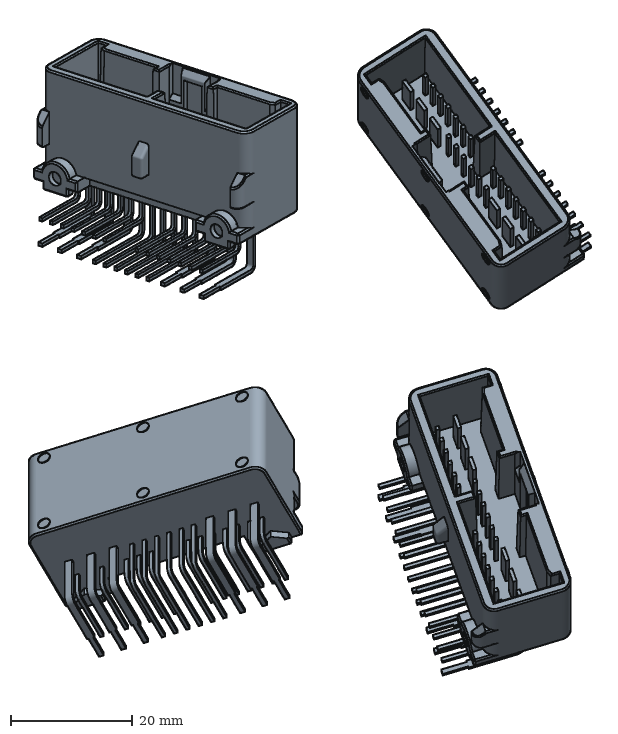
import cadquery as cq


width = 42.5
depth = 15.3
height = 19.55
corner_radius = 2.05
edge_break = 0.3

floor_z = 3.82
cavity_half_width = 19.5
cavity_front_y = 2.15
cavity_back_y = 13.55
land_y = 11.75
land_outer_x = 18.25
land_corner_length = 0.95
land_corner_depth = 0.35
guide_y = 10.7
guide_outer_x = 6.45
guide_inner_x = 4.7
key_half_width = 0.95
key_tip_y = 5.15
wall_draft = 0.2
rim_chamfer = 0.25

latch_half_width = 2.85
latch_taper = 0.42
latch_back_y = 14.55
latch_ledge_z = 14.02
latch_block_drop = 0.98
latch_ledge_drop = 0.75
latch_edge_radius = 0.35
latch_panel_half_width = 1.85
latch_panel_top_z = 17.6

hook_reach = 2.0
hook_bottom_z = 6.15
hook_top_z = 12.0
hook_root_y = 1.5
hook_half_width = 1.15
hook_edge_radius = 0.5
corner_hook_radius = 1.6
corner_hook_width = 1.83
hook_slope_break = 0.2

flange_reach = 2.12
flange_inner_x = 12.2
flange_top_z = 2.05
recess_depth = 1.5
boss_x = 16.7
boss_z = 1.35
boss_radius = 2.95
boss_hole_radius = 1.25
boss_hole_depth = 1.0
foot_half_width = 2.65
foot_drop = 1.4
foot_tip_y = 0.9
foot_shoulder_y = -0.7

pad_radius = 1.05
pad_height = 0.13
pad_x = 17.75
pad_zs = (2.05, 17.65)

pin_pitch = 2.2
pin_size = 0.65
pin_tip_z = 11.9
pin_bend_radius = 1.28
tail_end_y = -6.15
front_row_y = 4.0
front_row_tail_z = -4.5
front_row_count = 7
front_row_first_x = 1.5 * pin_pitch
tail_bottom_z = -9.45
back_row_y = 6.9
back_row_tail_z = tail_bottom_z + pin_size / 2
back_row_count = 3
back_row_first_x = pin_pitch / 2
blade_y = 7.45
blade_pitch = 4.0
blade_first_x = 8.65
blade_count = 3
blade_tab_width = 2.4
blade_tail_width = 1.3
blade_tip_width = 0.85
blade_shoulder_y = -1.7


def box(x0, x1, y0, y1, z0, z1):
    """Box given by its limits along each axis."""
    return cq.Workplane("XY").box(x1 - x0, y1 - y0, z1 - z0, centered=False).translate((x0, y0, z0))


def mirrored(solid):
    """The solid together with its mirror image about X = 0."""
    return solid.union(solid.mirror("YZ"))


def make_shell():
    return (
        box(-width / 2, width / 2, 0, depth, 0, height)
        .edges("|Z").fillet(corner_radius)
        .faces("<Z or >Z").edges().chamfer(edge_break)
    )


def cavity_outline(growth):
    """Cavity outline with every wall moved outward from its floor position by the growth."""
    land_end_x = land_outer_x - growth
    land_face_y = land_y + growth
    right_half = [
        (key_half_width - growth, key_tip_y - growth),
        (key_half_width - growth, cavity_front_y - growth),
        (cavity_half_width + growth, cavity_front_y - growth),
        (cavity_half_width + growth, cavity_back_y + growth),
        (land_end_x, cavity_back_y + growth),
        (land_end_x, land_face_y + land_corner_depth),
        (land_end_x - land_corner_length, land_face_y),
        (guide_outer_x - growth, land_face_y),
        (guide_outer_x - growth, guide_y + growth),
        (guide_inner_x + growth, guide_y + growth),
        (guide_inner_x + growth, cavity_back_y + growth),
    ]
    return right_half + [(-x, y) for x, y in reversed(right_half)]


def flared_pocket(bottom_z, top_z, bottom_growth, top_growth):
    """Straight-sided loft between two sizes of the cavity outline."""
    return (
        cq.Workplane("XY", origin=(0, 0, bottom_z))
        .polyline(cavity_outline(bottom_growth)).close()
        .workplane(offset=top_z - bottom_z)
        .polyline(cavity_outline(top_growth)).close()
        .loft(ruled=True)
    )


def make_cavity():
    rim_z = height - rim_chamfer
    bore = flared_pocket(floor_z, rim_z, 0, wall_draft)
    rim = flared_pocket(rim_z, height, wall_draft, wall_draft + rim_chamfer)
    return bore.union(rim)


def make_latch_pocket():
    """Deepened back wall between the guides."""
    half_width = guide_inner_x + wall_draft
    return box(-half_width, half_width, cavity_back_y, latch_back_y, floor_z, height)


def sloped_fill(top_z, drop):
    """Filling of the latch pocket whose top falls by the drop from back to front."""
    return (
        cq.Workplane("YZ")
        .moveTo(latch_back_y, floor_z)
        .lineTo(latch_back_y, top_z)
        .lineTo(cavity_back_y, top_z - drop)
        .lineTo(cavity_back_y, floor_z)
        .close().extrude(guide_inner_x + wall_draft, both=True)
    )


def make_latch():
    """Tall central block with a recessed panel, flanked by two lower ledges."""
    block_front_half = latch_half_width - latch_taper
    block_plan = (
        cq.Workplane("XY", origin=(0, 0, floor_z))
        .polyline([
            (-latch_half_width, latch_back_y),
            (-block_front_half, cavity_back_y),
            (block_front_half, cavity_back_y),
            (latch_half_width, latch_back_y),
        ]).close().extrude(height - floor_z)
    )
    block = sloped_fill(height - rim_chamfer, latch_block_drop).intersect(block_plan)
    block = block.faces("<Y").edges(">Z").fillet(latch_edge_radius)
    panel = box(-latch_panel_half_width, latch_panel_half_width,
                cavity_back_y, latch_back_y, floor_z, latch_panel_top_z)
    return sloped_fill(latch_ledge_z, latch_ledge_drop).union(block).cut(panel)


def hook_blank(x0, x1):
    """Hook between two X limits, rooted in the housing, with a 45 degree slope on its top."""
    return (
        cq.Workplane("YZ", origin=(x0, 0, 0))
        .moveTo(hook_root_y, hook_bottom_z)
        .lineTo(-hook_reach, hook_bottom_z)
        .lineTo(-hook_reach, hook_top_z - hook_reach)
        .lineTo(hook_root_y, hook_top_z + hook_root_y)
        .close().extrude(x1 - x0)
    )


def make_hooks():
    centre = hook_blank(-hook_half_width, hook_half_width).edges("not >Y").fillet(hook_edge_radius)
    corner_root = box(width / 2 - corner_hook_width, width / 2, 0, corner_radius + edge_break,
                      hook_bottom_z, hook_top_z)
    corner = (
        hook_blank(width / 2 - corner_hook_width, width / 2)
        .intersect(box(0, width, -width, width, hook_bottom_z, hook_top_z))
        .union(corner_root)
        .edges("|Z and >X and <Y").fillet(corner_hook_radius)
        .faces("+(0,-1,1)").edges(">X").chamfer(hook_slope_break)
        .faces("<Z or >Z").edges(">X").chamfer(edge_break)
    )
    return mirrored(corner).union(centre)


def make_flange():
    """Right-hand flange with its round boss, blind hole and foot."""
    bar = (
        box(flange_inner_x, width / 2, -flange_reach, corner_radius + edge_break, 0, flange_top_z)
        .faces("<Y or >X").edges().chamfer(edge_break)
    )
    boss = (
        cq.Workplane("XZ", origin=(boss_x, 0, boss_z))
        .circle(boss_radius).extrude(flange_reach)
        .faces("<Y").edges().chamfer(edge_break)
        .intersect(box(0, width, -flange_reach, 0, 0, height))
    )
    foot = (
        cq.Workplane("XY", origin=(boss_x, 0, -foot_drop))
        .moveTo(-foot_half_width, -flange_reach)
        .lineTo(foot_half_width, -flange_reach)
        .lineTo(foot_half_width, foot_shoulder_y)
        .lineTo(0, foot_tip_y)
        .lineTo(-foot_half_width, foot_shoulder_y)
        .close().extrude(foot_drop + boss_z)
        .faces("<Y or <X or >X").edges("not >Z").edges("not (|Z and >Y)").chamfer(edge_break)
    )
    hole = (
        cq.Workplane("XZ", origin=(boss_x, -flange_reach, boss_z))
        .circle(boss_hole_radius).extrude(-boss_hole_depth)
    )
    return bar.union(boss).union(foot).cut(hole)


def make_pads():
    centres = [(x, z) for x in (-pad_x, 0, pad_x) for z in pad_zs]
    return (
        cq.Workplane("XZ", origin=(0, depth + pad_height, 0))
        .pushPoints(centres).circle(pad_radius).extrude(pad_height + edge_break)
    )


def bent_pin(x, y, tail_z, thickness, pin_width):
    """Pin running down through the floor and bending forward to its tail end."""
    half = thickness / 2
    return (
        cq.Workplane("YZ", origin=(x, 0, 0))
        .moveTo(y + half, floor_z)
        .lineTo(y + half, tail_z - half + pin_bend_radius)
        .radiusArc((y + half - pin_bend_radius, tail_z - half), pin_bend_radius)
        .lineTo(tail_end_y, tail_z - half)
        .lineTo(tail_end_y, tail_z + half)
        .lineTo(y + half - pin_bend_radius, tail_z + half)
        .radiusArc((y - half, tail_z - half + pin_bend_radius), thickness - pin_bend_radius)
        .lineTo(y - half, floor_z)
        .close().extrude(pin_width / 2, both=True)
    )


def contact(x, y, pin_width):
    """Straight contact standing in the cavity, rooted in the floor."""
    return box(x - pin_width / 2, x + pin_width / 2, y - pin_size / 2, y + pin_size / 2,
               floor_z - pin_size, pin_tip_z)


def square_pin(x, y, tail_z):
    return bent_pin(x, y, tail_z, pin_size, pin_size).union(contact(x, y, pin_size))


def blade_pin(x):
    tail = bent_pin(x, blade_y, back_row_tail_z, pin_size, blade_tail_width)
    tip_plan = box(x - blade_tip_width / 2, x + blade_tip_width / 2,
                   tail_end_y, blade_shoulder_y, -height, 0)
    wide_plan = box(x - blade_tail_width / 2, x + blade_tail_width / 2,
                    blade_shoulder_y, depth, -height, height)
    return tail.intersect(tip_plan.union(wide_plan)).union(contact(x, blade_y, blade_tab_width))


def make_pins():
    """All pins on the right-hand side of X = 0."""
    pins = []
    for i in range(front_row_count):
        pins.append(square_pin(front_row_first_x + i * pin_pitch, front_row_y, front_row_tail_z))
    for i in range(back_row_count):
        pins.append(square_pin(back_row_first_x + i * pin_pitch, back_row_y, back_row_tail_z))
    for i in range(blade_count):
        pins.append(blade_pin(blade_first_x + i * blade_pitch))
    return pins


front_recess = box(-flange_inner_x, flange_inner_x, -flange_reach, recess_depth, 0, flange_top_z)

housing = make_shell().union(make_hooks()).union(make_pads()).cut(front_recess)
housing = housing.union(mirrored(make_flange()))
result = housing.cut(make_cavity()).cut(make_latch_pocket()).union(make_latch())
for pin in make_pins():
    result = result.union(mirrored(pin))